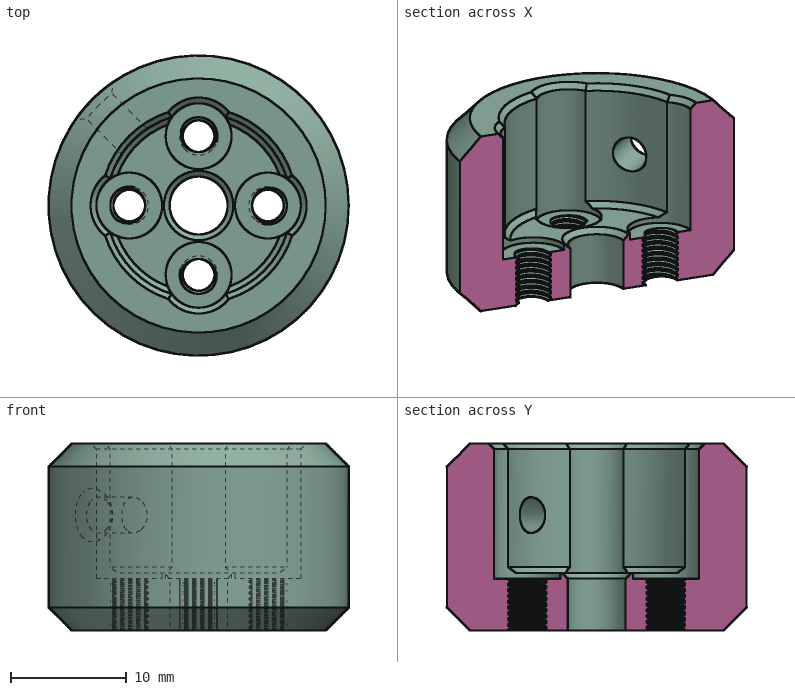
import cadquery as cq
import math

BODY_DIAMETER = 26.0
BODY_HEIGHT = 16.2
BODY_CHAMFER = 2.0

FLOOR_THICKNESS = 5.0
POCKET_RADIUS = 8.0
POCKET_CHAMFER = 0.5
LOBE_COUNT = 4
LOBE_CIRCLE_RADIUS = 6.0
LOBE_DIAMETER = 5.7
LOBE_STEP = 0.5
LOBE_FLOOR = FLOOR_THICKNESS - LOBE_STEP

BORE_DIAMETER = 5.0
BORE_CHAMFER = 0.5

THREAD_MINOR_RADIUS = 2.73 / 2
THREAD_MAJOR_RADIUS = 3.29 / 2
THREAD_PITCH = 0.5
THREAD_CREST_WIDTH = THREAD_PITCH / 4
THREAD_HALF_ANGLE = math.radians(30)
THREAD_OVERLAP = 0.04

SIDE_HOLE_DIAMETER = 3.1
SIDE_HOLE_CHAMFER = 0.75
SIDE_HOLE_HEIGHT = 10.0
SIDE_HOLE_ANGLE = 135.0

CUT_CLEARANCE = 1.0


def make_body():
    body = cq.Workplane("XY").circle(BODY_DIAMETER / 2).extrude(BODY_HEIGHT)
    return body.faces("<Z or >Z").edges().chamfer(BODY_CHAMFER)


def around_lobes(tool):
    """Copies of a tool made for the +X lobe, turned about Z onto every lobe."""
    step = 360.0 / LOBE_COUNT
    return [tool.rotate((0, 0, 0), (0, 0, 1), index * step) for index in range(LOBE_COUNT)]


def cut_pocket(body):
    pocket = (
        cq.Workplane("XY", origin=(0, 0, FLOOR_THICKNESS))
        .circle(POCKET_RADIUS)
        .extrude(BODY_HEIGHT - FLOOR_THICKNESS)
        .faces("<Z")
        .chamfer(POCKET_CHAMFER)
    )
    lobe = (
        cq.Workplane("XY", origin=(LOBE_CIRCLE_RADIUS, 0, LOBE_FLOOR))
        .circle(LOBE_DIAMETER / 2)
        .extrude(BODY_HEIGHT - LOBE_FLOOR)
    )
    for lobe_copy in around_lobes(lobe):
        pocket = pocket.union(lobe_copy)
    body = body.cut(pocket)

    mouth = body.faces(">Z").wires(cq.selectors.LengthNthSelector(0))
    return mouth.chamfer(POCKET_CHAMFER)


def cut_bore(body):
    radius = BORE_DIAMETER / 2
    rim_radius = radius + BORE_CHAMFER
    bore = (
        cq.Workplane("XZ")
        .polyline([
            (0, 0),
            (radius, 0),
            (radius, FLOOR_THICKNESS - BORE_CHAMFER),
            (rim_radius, FLOOR_THICKNESS),
            (0, FLOOR_THICKNESS),
        ])
        .close()
        .revolve(360, (0, 0, 0), (0, 1, 0))
    )
    return body.cut(bore)


def make_thread_groove():
    """Helical V-groove about Z; it points to +X at the level of the lobe floor."""
    bottom = LOBE_FLOOR - THREAD_PITCH * math.ceil(LOBE_FLOOR / THREAD_PITCH + 1)
    length = LOBE_FLOOR + THREAD_PITCH - bottom
    inner_radius = THREAD_MINOR_RADIUS - THREAD_OVERLAP
    tip_half = THREAD_CREST_WIDTH / 2
    root_half = tip_half + (THREAD_MAJOR_RADIUS - inner_radius) * math.tan(THREAD_HALF_ANGLE)
    path = cq.Wire.makeHelix(THREAD_PITCH, length, THREAD_MINOR_RADIUS)
    groove = (
        cq.Workplane("XZ")
        .polyline([
            (inner_radius, -root_half),
            (THREAD_MAJOR_RADIUS, -tip_half),
            (THREAD_MAJOR_RADIUS, tip_half),
            (inner_radius, root_half),
        ])
        .close()
        .sweep(cq.Workplane(path), isFrenet=True)
    )
    return groove.translate((0, 0, bottom))


def cut_threaded_holes(body):
    core = cq.Workplane("XY").circle(THREAD_MINOR_RADIUS).extrude(LOBE_FLOOR)
    for tool in (make_thread_groove(), core):
        for hole in around_lobes(tool.translate((LOBE_CIRCLE_RADIUS, 0, 0))):
            body = body.cut(hole)
    return body


def cut_side_hole(body):
    angle = math.radians(SIDE_HOLE_ANGLE)
    outward = cq.Vector(math.cos(angle), math.sin(angle), 0)
    inner_end = POCKET_RADIUS - CUT_CLEARANCE
    start = outward * inner_end + cq.Vector(0, 0, SIDE_HOLE_HEIGHT)
    length = BODY_DIAMETER / 2 + CUT_CLEARANCE - inner_end
    hole = cq.Solid.makeCylinder(SIDE_HOLE_DIAMETER / 2, length, start, outward)
    body = body.cut(cq.Workplane(hole))

    rim_center = outward * (BODY_DIAMETER / 2) + cq.Vector(0, 0, SIDE_HOLE_HEIGHT)
    rim = body.edges(cq.selectors.NearestToPointSelector(rim_center.toTuple()))
    return rim.chamfer(SIDE_HOLE_CHAMFER)


result = make_body()
result = cut_pocket(result)
result = cut_bore(result)
result = cut_side_hole(result)
result = cut_threaded_holes(result)